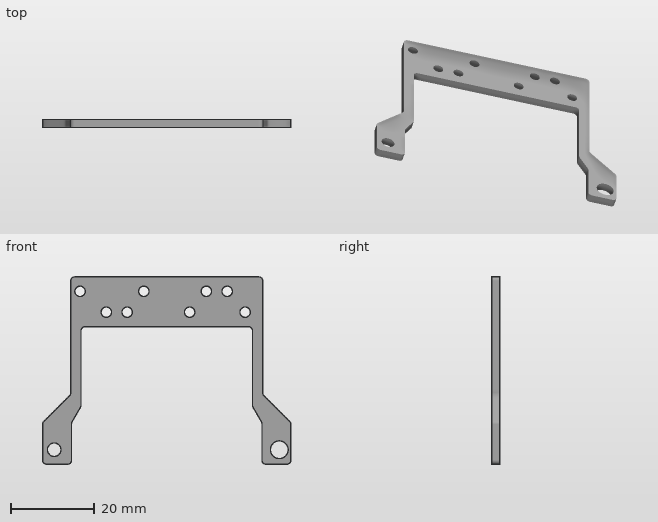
import cadquery as cq
import math

width = 59.6
height = 45.0
thickness = 2.0

foot_outer_x = width / 2
foot_width = 7.0
foot_inner_x = foot_outer_x - foot_width
post_outer_x = 23.05
post_width = 2.5
post_inner_x = post_outer_x - post_width
bar_height = 12.0
bar_bottom_z = height - bar_height
foot_height = 10.0
shoulder_angle = 45.0
inner_slope_angle = 60.0
outer_bend_z = foot_height + (foot_outer_x - post_outer_x) * math.tan(math.radians(shoulder_angle))
inner_bend_z = foot_height + (foot_inner_x - post_inner_x) * math.tan(math.radians(inner_slope_angle))

corner_radius = 1.0

board_hole_diameter = 2.45
upper_row_edge_distance = 3.5
upper_row_z = height - upper_row_edge_distance
row_spacing = 5.0
lower_row_z = upper_row_z - row_spacing
upper_row_x = (-20.8, -5.5, 9.5, 14.5)
lower_row_x = (-14.5, -9.5, 5.5, 18.8)
foot_hole_x = 27.0
foot_hole_z = 3.5
left_foot_hole_diameter = 3.2
right_foot_hole_diameter = 4.2


def bracket_plate():
    """Extrude the arch-shaped outline from the front face (Y = 0) and round its corners."""
    right_side = [
        (post_outer_x, height),
        (post_outer_x, outer_bend_z),
        (foot_outer_x, foot_height),
        (foot_outer_x, 0),
        (foot_inner_x, 0),
        (foot_inner_x, foot_height),
        (post_inner_x, inner_bend_z),
        (post_inner_x, bar_bottom_z),
    ]
    left_side = [(-x, z) for x, z in reversed(right_side)]
    plate = cq.Workplane("XZ").polyline(right_side + left_side).close().extrude(-thickness)
    return plate.edges("|Y").fillet(corner_radius)


def drill(plate, centres, diameter):
    """Cut through holes along Y at the given (x, z) centres."""
    holes = cq.Workplane("XZ").pushPoints(centres).circle(diameter / 2).extrude(-thickness)
    return plate.cut(holes)


board_holes = [(x, upper_row_z) for x in upper_row_x]
board_holes += [(x, lower_row_z) for x in lower_row_x]

result = bracket_plate()
result = drill(result, board_holes, board_hole_diameter)
result = drill(result, [(-foot_hole_x, foot_hole_z)], left_foot_hole_diameter)
result = drill(result, [(foot_hole_x, foot_hole_z)], right_foot_hole_diameter)